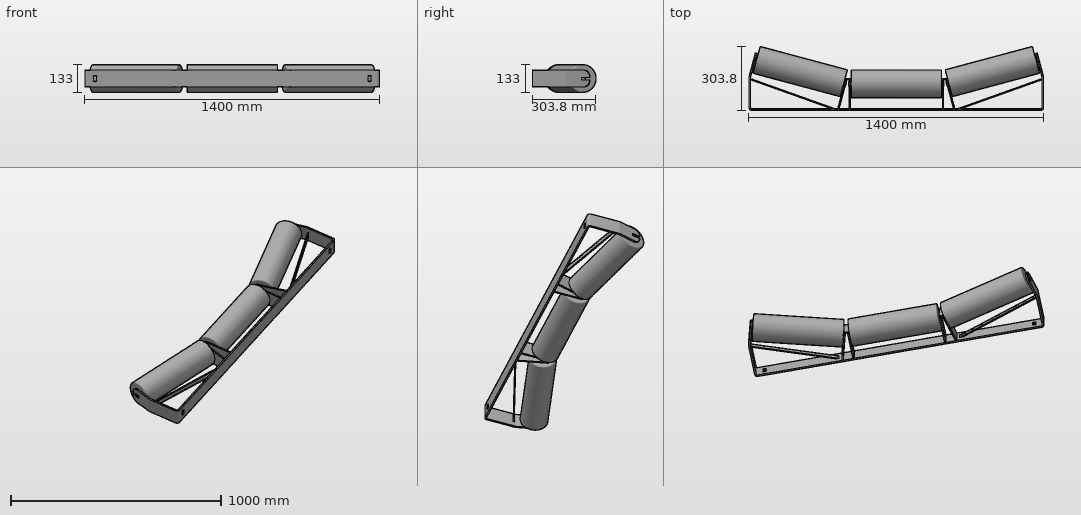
import cadquery as cq
import math

frame_length = 1400.0
strip_width = 80.0
strip_thickness = 8.0
bend_radius = 14.0
leg_bend_height = 161.0
tip_length = 116.0
tip_corner_radius = 30.0
mount_slot_inset = 48.0
mount_slot_width = 15.0
mount_slot_height = 31.0

trough_angle = 15.0
roller_diameter = 133.0
roller_length = 430.0
roller_edge_radius = 5.0
shaft_diameter = 20.0
shaft_flat_width = 12.0
shaft_overhang = 11.0
middle_roller_height = 126.0
side_roller_x = 456.0
side_roller_height = 185.0

bracket_thickness = 7.0
bracket_face_x = 218.0
bracket_top = 153.0
bracket_bend_radius = 7.0
bracket_foot_x = 279.0

brace_thickness = 5.0
brace_width = 25.0
brace_leg_height = 151.0
brace_foot_x = 291.0

half_length = frame_length / 2
half_width = strip_width / 2
slope = math.radians(trough_angle)


def mirrored(body):
    return body.mirror("YZ")


def plate(points, width):
    """Extrude an XY outline symmetrically about Z = 0."""
    return cq.Workplane("XY").workplane(offset=-width / 2).polyline(points).close().extrude(width)


def round_edge(body, x, y, radius):
    """Fillet the Z edge that passes through (x, y)."""
    return body.edges(cq.selectors.NearestToPointSelector((x, y, 0))).fillet(radius)


def on_side_axis(body):
    """Carry a body built along X about the origin to the right-hand roller axis."""
    tilted = body.rotate((0, 0, 0), (0, 0, 1), trough_angle)
    return tilted.translate((side_roller_x, side_roller_height, 0))


def on_middle_axis(body):
    return body.translate((0, middle_roller_height, 0))


def make_shaft():
    """Round shaft along X with two flats facing up and down Z."""
    shaft_length = roller_length + 2 * shaft_overhang
    shaft = cq.Workplane("YZ").workplane(offset=-shaft_length / 2).circle(shaft_diameter / 2)
    shaft = shaft.extrude(shaft_length)
    flats = cq.Workplane("XY").box(shaft_length, shaft_diameter, shaft_flat_width)
    return shaft.intersect(flats)


def make_roller():
    barrel = cq.Workplane("YZ").workplane(offset=-roller_length / 2).circle(roller_diameter / 2)
    barrel = barrel.extrude(roller_length).faces("<X or >X").edges().fillet(roller_edge_radius)
    return barrel.union(make_shaft())


def make_shaft_slot():
    """Slot open toward +Y around the outer end of a shaft; its floor touches the underside of the shaft."""
    slot = cq.Workplane("XY").box(roller_length, strip_width, shaft_flat_width, centered=(False, False, True))
    return slot.translate((0, -shaft_diameter / 2, 0))


def make_half_frame():
    tip_x = half_length - tip_length * math.sin(slope)
    tip_y = leg_bend_height + tip_length * math.cos(slope)
    inner_tip_x = tip_x - strip_thickness * math.cos(slope)
    inner_tip_y = tip_y - strip_thickness * math.sin(slope)
    inner_x = half_length - strip_thickness
    inner_bend_y = leg_bend_height - strip_thickness * math.tan(slope / 2)
    strip = plate(
        [
            (0, 0),
            (half_length, 0),
            (half_length, leg_bend_height),
            (tip_x, tip_y),
            (inner_tip_x, inner_tip_y),
            (inner_x, inner_bend_y),
            (inner_x, strip_thickness),
            (0, strip_thickness),
        ],
        strip_width,
    )
    strip = round_edge(strip, half_length, 0, bend_radius)
    strip = round_edge(strip, inner_x, strip_thickness, bend_radius - strip_thickness)
    mid_tip_x = (tip_x + inner_tip_x) / 2
    mid_tip_y = (tip_y + inner_tip_y) / 2
    for z in (-half_width, half_width):
        corner = cq.selectors.NearestToPointSelector((mid_tip_x, mid_tip_y, z))
        strip = strip.edges(corner).fillet(tip_corner_radius)
    strip = strip.cut(on_side_axis(make_shaft_slot()))
    mount_slot = (
        cq.Workplane("XZ")
        .center(half_length - mount_slot_inset, 0)
        .slot2D(mount_slot_height, mount_slot_width, 90)
        .extrude(-strip_thickness)
    )
    return strip.cut(mount_slot)


def make_frame():
    half = make_half_frame()
    return half.union(mirrored(half))


def make_bracket():
    foot_y = strip_thickness
    inner_top = bracket_top - bracket_thickness
    inner_face_x = bracket_face_x + bracket_thickness
    inner_foot_x = bracket_foot_x - bracket_thickness / math.cos(slope)
    top_x = bracket_foot_x - (bracket_top - foot_y) * math.tan(slope)
    inner_top_x = inner_foot_x - (inner_top - foot_y) * math.tan(slope)
    bracket = plate(
        [
            (bracket_face_x, foot_y),
            (bracket_face_x, bracket_top),
            (top_x, bracket_top),
            (bracket_foot_x, foot_y),
            (inner_foot_x, foot_y),
            (inner_top_x, inner_top),
            (inner_face_x, inner_top),
            (inner_face_x, foot_y),
        ],
        strip_width,
    )
    bracket = round_edge(bracket, bracket_face_x, bracket_top, bracket_bend_radius)
    shaft = make_shaft()
    return bracket.cut(on_middle_axis(shaft)).cut(on_side_axis(shaft))


def make_brace():
    leg_x = half_length - strip_thickness
    angle = math.atan2(brace_leg_height - strip_thickness, leg_x - brace_foot_x)
    return plate(
        [
            (brace_foot_x, strip_thickness),
            (leg_x, brace_leg_height),
            (leg_x, brace_leg_height - brace_thickness / math.cos(angle)),
            (brace_foot_x + brace_thickness / math.sin(angle), strip_thickness),
        ],
        brace_width,
    )


frame = make_frame()
roller = make_roller()
middle_roller = on_middle_axis(roller)

bodies = [frame, middle_roller]
for right_body in (on_side_axis(roller), make_bracket(), make_brace()):
    bodies += [right_body, mirrored(right_body)]

result = cq.Compound.makeCompound([body.val() for body in bodies])